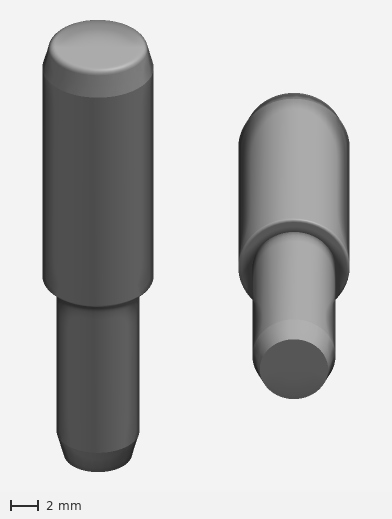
import cadquery as cq
import math

total_length = 35
head_diameter = 8.0
shank_diameter = 6.0
head_length = 20.0
taper_length = 2.0
taper_angle = 15
top_edge_radius = 0.5
shoulder_edge_radius = 0.2

head_radius = head_diameter / 2
shank_radius = shank_diameter / 2
shoulder_height = total_length - head_length
taper_inset = taper_length * math.tan(math.radians(taper_angle))


def stepped_pin():
    """Revolve the half section: tapered shank tip, shank, shoulder, head, tapered top."""
    half_section = (
        cq.Workplane("XZ")
        .lineTo(shank_radius - taper_inset, 0)
        .lineTo(shank_radius, taper_length)
        .lineTo(shank_radius, shoulder_height)
        .lineTo(head_radius, shoulder_height)
        .lineTo(head_radius, total_length - taper_length)
        .lineTo(head_radius - taper_inset, total_length)
        .lineTo(0, total_length)
        .close()
    )
    return half_section.revolve(360, (0, 0, 0), (0, 1, 0))


def round_head_edges(pin):
    """Round the rim of the top face and the outer edge of the shoulder."""
    pin = pin.faces(">Z").edges().fillet(top_edge_radius)
    shoulder_edge = cq.selectors.RadiusNthSelector(-1)
    return pin.edges("%CIRCLE").edges(shoulder_edge).edges("<Z").fillet(shoulder_edge_radius)


result = round_head_edges(stepped_pin())